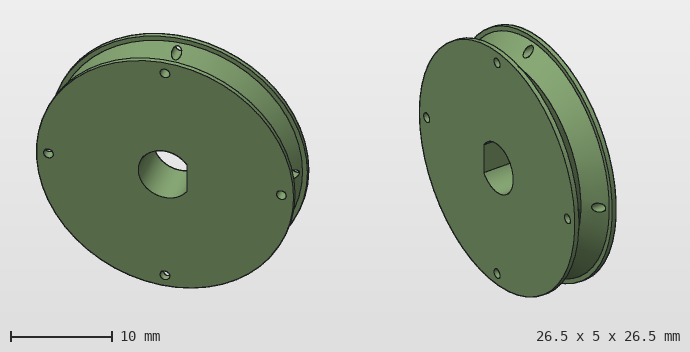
import cadquery as cq

outer_diameter = 26.5
width = 5.0
flange_thickness = 0.5

groove_bottom_radius = 10.75
groove_half_width = width / 2 - flange_thickness
groove_top_radius = groove_bottom_radius + groove_half_width

bore_diameter = 5.5
flat_distance = 2.25

hole_diameter = 1.0
hole_circle_radius = 12.0
hole_count = 4


def make_wheel():
    """Revolve the half section, given as (radius, Y), around the Y axis."""
    outer_radius = outer_diameter / 2
    half_width = width / 2
    section = [
        (0, -half_width),
        (outer_radius, -half_width),
        (outer_radius, -groove_half_width),
        (groove_top_radius, -groove_half_width),
        (groove_bottom_radius, 0),
        (groove_top_radius, groove_half_width),
        (outer_radius, groove_half_width),
        (outer_radius, half_width),
        (0, half_width),
    ]
    profile = cq.Workplane("XY").polyline(section).close()
    return profile.revolve(360, (0, 0, 0), (0, 1, 0))


def make_bore():
    """D-shaped cutter: a cylinder trimmed by a box at the flat."""
    cylinder = cq.Workplane("XZ").circle(bore_diameter / 2).extrude(width / 2, both=True)
    trim = cq.Workplane("XY").box(bore_diameter, width, bore_diameter)
    trim = trim.translate((flat_distance - bore_diameter / 2, 0, 0))
    return cylinder.intersect(trim)


def make_holes():
    """Axial through holes, evenly spaced around the rim."""
    holes = cq.Workplane("XZ").polarArray(hole_circle_radius, 0, 360, hole_count)
    return holes.circle(hole_diameter / 2).extrude(width / 2, both=True)


result = make_wheel().cut(make_bore()).cut(make_holes())